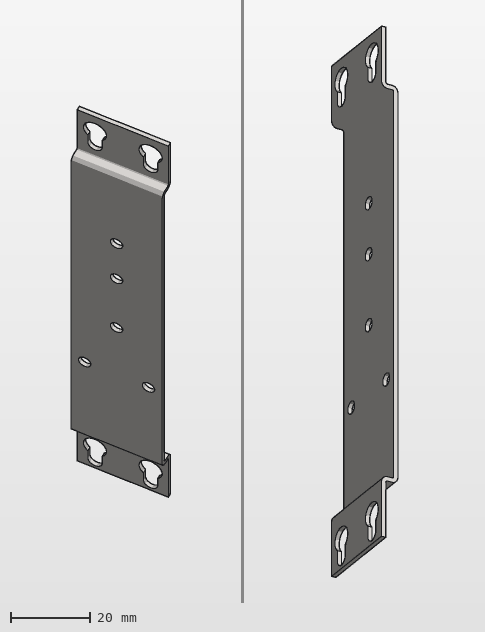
import cadquery as cq

width = 25.9
depth = 4.8
height = 144.5
thickness = 1.25

inner_bend_radius = 0.5
outer_bend_radius = inner_bend_radius + thickness
tab_length = 16.0

hole_diameter = 3.5
centre_hole_drops = [43.6, 58.0, 78.1]
side_hole_drop = 97.5
side_hole_spacing = 18.0

keyhole_spacing = 15.7
head_diameter = 6.5
slot_width = 4.0
slot_drop = 5.5
top_head_drop = 6.0
bottom_head_rise = 8.5

top = height / 2
front = -depth / 2
back = depth / 2
step_near = top - tab_length
step_far = step_near - thickness


def bent_strip():
    """Strip with a raised middle plate in front and a set-back tab at each end."""
    outline = [
        (back, top),
        (back, step_far),
        (front + thickness, step_far),
        (front + thickness, -step_far),
        (back, -step_far),
        (back, -top),
        (back - thickness, -top),
        (back - thickness, -step_near),
        (front, -step_near),
        (front, step_near),
        (back - thickness, step_near),
        (back - thickness, top),
    ]
    strip = cq.Workplane("YZ").polyline(outline).close().extrude(width / 2, both=True)
    for bend_end in (-1, 1):
        for y, z, radius in (
            (back, step_far, outer_bend_radius),
            (back - thickness, step_near, inner_bend_radius),
            (front, step_near, outer_bend_radius),
            (front + thickness, step_far, inner_bend_radius),
        ):
            corner = cq.selectors.NearestToPointSelector((0, y, bend_end * z))
            strip = strip.edges("|X").edges(corner).fillet(radius)
    return strip


def through_cut(sketch):
    """Extrude an XZ sketch through the full depth of the part."""
    return sketch.extrude(depth, both=True)


def round_holes():
    centres = [(0, top - drop) for drop in centre_hole_drops]
    centres += [(side * side_hole_spacing / 2, top - side_hole_drop) for side in (-1, 1)]
    return through_cut(cq.Workplane("XZ").pushPoints(centres).circle(hole_diameter / 2))


def keyhole(x, head_z):
    head = through_cut(cq.Workplane("XZ").center(x, head_z).circle(head_diameter / 2))
    slot = through_cut(
        cq.Workplane("XZ")
        .center(x, head_z - slot_drop / 2)
        .slot2D(slot_drop + slot_width, slot_width, angle=90)
    )
    return head.union(slot)


result = bent_strip().cut(round_holes())
for head_z in (top - top_head_drop, -top + bottom_head_rise):
    for side in (-1, 1):
        result = result.cut(keyhole(side * keyhole_spacing / 2, head_z))